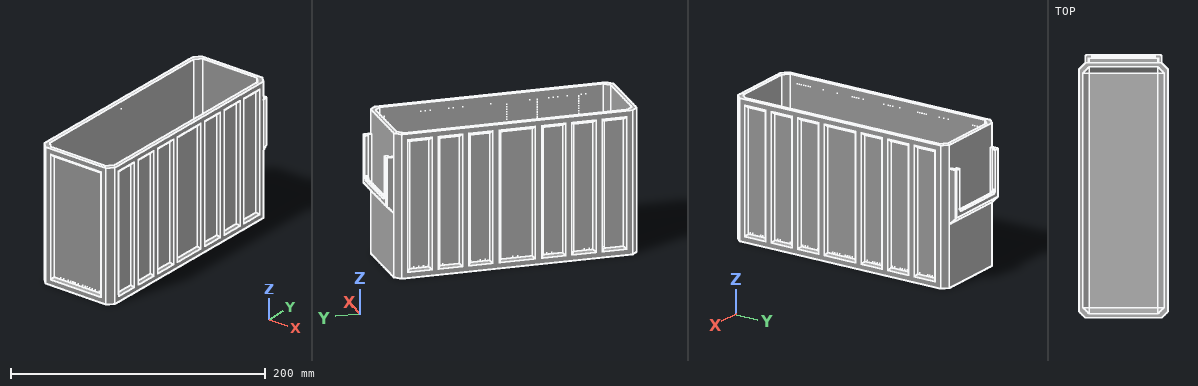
import cadquery as cq

length = 206.5
width = 70.0
height = 120.0
holder_depth = 6.5
box_length = length - holder_depth
corner_chamfer = 5.0
wall = 3.0
cavity_chamfer = 5.0

panel_margin = 5.0
end_margin = 2 * panel_margin
panel_depth = 2.0
panel_slope = panel_depth
panel_height = height - 2 * panel_margin
narrow_panel = 20.0
middle_panel = 30.0
panels_beside_middle = 3
all_panels = middle_panel + 2 * panels_beside_middle * narrow_panel
panel_gap = (box_length - 2 * end_margin - all_panels) / (2 * panels_beside_middle)

holder_width = width - 2 * corner_chamfer
holder_drop = 20.0
holder_height = 46.5
holder_chamfer = 1.0
slot_width = 55.3
slot_depth = 3.5
slot_corner = 0.8
window_width = 50.0
window_sill = 5.0
window_corner = 2.0
window_edge = 1.0

pick_margin = 0.02

back_y = box_length / 2
side_x = width / 2


def make_box():
    """Open box with chamfered corners and a chamfered cavity."""
    outer = cq.Workplane("XY").box(width, box_length, height, centered=(True, True, False))
    outer = outer.edges("|Z").chamfer(corner_chamfer)
    cavity = cq.Workplane("XY", origin=(0, 0, wall)).box(
        width - 2 * wall, box_length - 2 * wall, height, centered=(True, True, False)
    )
    cavity = cavity.edges("|Z or <Z").chamfer(cavity_chamfer)
    return outer.cut(cavity)


def make_panel(panel_width, center, outward):
    """Recess cutter centred on a wall face, narrowing inwards to its flat bottom."""
    plane = cq.Plane(origin=center, xDir=(0, 0, 1), normal=[-n for n in outward])
    return (
        cq.Workplane(plane)
        .rect(panel_height, panel_width)
        .workplane(offset=panel_depth)
        .rect(panel_height - 2 * panel_slope, panel_width - 2 * panel_slope)
        .loft(ruled=True)
    )


def cut_panels(body):
    """One panel on the front wall and a row of panels on each long side."""
    mid_z = height / 2
    front_panel = width - 2 * end_margin
    body = body.cut(make_panel(front_panel, (0, -box_length / 2, mid_z), (0, -1, 0)))
    panels = [(0, middle_panel)]
    for index in range(panels_beside_middle):
        offset = (middle_panel + narrow_panel) / 2 + panel_gap + index * (narrow_panel + panel_gap)
        panels += [(-offset, narrow_panel), (offset, narrow_panel)]
    for center_y, panel_width in panels:
        for side in (-1, 1):
            body = body.cut(make_panel(panel_width, (side * side_x, center_y, mid_z), (side, 0, 0)))
    return body


def make_holder():
    """Label pocket open at the top, with a window and a 45 degree underside."""
    top_z = height - holder_drop
    bottom_z = top_z - holder_height
    slot_z = bottom_z + holder_depth
    sill_z = slot_z + window_sill
    outer_y = back_y + holder_depth
    holder = (
        cq.Workplane("YZ", origin=(-holder_width / 2, 0, 0))
        .polyline([(back_y, bottom_z), (outer_y, slot_z), (outer_y, top_z), (back_y, top_z)])
        .close()
        .extrude(holder_width)
    )
    holder = holder.edges("|Z and >Y").chamfer(holder_chamfer)
    slot = cq.Workplane("XY", origin=(0, back_y, slot_z)).box(
        slot_width, slot_depth, holder_height, centered=(True, False, False)
    )
    slot = slot.edges("|Y and <Z").chamfer(slot_corner)
    window = cq.Workplane("XY", origin=(0, back_y, sill_z)).box(
        window_width, holder_depth, holder_height, centered=(True, False, False)
    )
    window = window.edges("|Y and <Z").chamfer(window_corner)
    holder = holder.cut(slot).cut(window)
    for face_y in (back_y + slot_depth, outer_y):
        rim_zone = cq.selectors.BoxSelector(
            (-window_width / 2 - pick_margin, face_y - pick_margin, sill_z - pick_margin),
            (window_width / 2 + pick_margin, face_y + pick_margin, sill_z + window_corner),
        )
        holder = holder.edges(rim_zone).chamfer(window_edge)
    return holder


result = cut_panels(make_box()).union(make_holder())